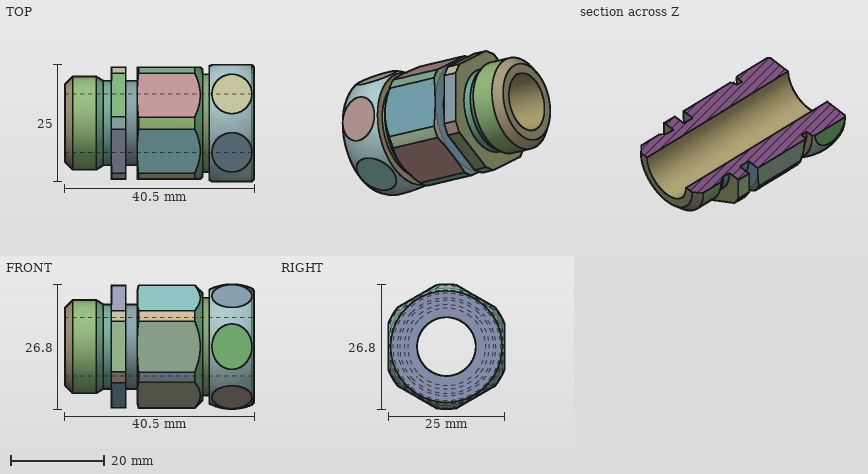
import cadquery as cq
import math

LENGTH = 40.5
BORE_DIAMETER = 12.5

THREAD_RADIUS = 20.0 / 2
LEAD_CHAMFER = 1.7
THREAD_END = 6.72
NECK_START = 8.25
NECK_RADIUS = 18.15 / 2

HEX_ACROSS_FLATS = 23.98
FLANGE_START = 9.95
FLANGE_END = 13.1
FLANGE_ACROSS_CORNERS = 26.15
BODY_START = 15.5
BODY_END = 29.5
BODY_CORNER_RADIUS = 13.15
FRONT_CHAMFER_LENGTH = 0.3
FRONT_CHAMFER_HEIGHT = 1.15
BACK_CHAMFER = 1.65

COLLAR_RADIUS = 21.0 / 2
NUT_START = 30.9
NUT_ACROSS_FLATS = 25.0
NUT_RADIUS = 26.8 / 2
NUT_CREST = 35.75
FLAT_LENGTH = 8.55
NUT_EDGE_SETBACK = 0.65
NUT_EDGE_RADIUS = 1.2


def hexagon(start, end, across_flats, turn=0):
    """Hexagonal prism along X; with no turn, two corners point along Z."""
    across_corners = across_flats / math.cos(math.pi / 6)
    return (
        cq.Workplane("YZ", origin=(start, 0, 0))
        .transformed(rotate=(0, 0, 30 + turn))
        .polygon(6, across_corners)
        .extrude(end - start)
    )


def revolved(profile):
    """Close a half profile along the X axis and turn it into a solid."""
    return profile.close().revolve(360, (0, 0, 0), (1, 0, 0))


def make_spigot():
    profile = (
        cq.Workplane("XY")
        .lineTo(0, THREAD_RADIUS - LEAD_CHAMFER)
        .lineTo(LEAD_CHAMFER, THREAD_RADIUS)
        .lineTo(THREAD_END, THREAD_RADIUS)
        .lineTo(NECK_START, NECK_RADIUS)
        .lineTo(BODY_START, NECK_RADIUS)
        .lineTo(BODY_START, 0)
    )
    return revolved(profile)


def make_flange():
    """Thin hexagon with its corners cut flat by a second, turned hexagon."""
    corner_cut = hexagon(FLANGE_START, FLANGE_END, FLANGE_ACROSS_CORNERS, turn=30)
    return hexagon(FLANGE_START, FLANGE_END, HEX_ACROSS_FLATS).intersect(corner_cut)


def make_body():
    """Hexagon with rounded corners and turned chamfers at both ends."""
    turned = revolved(
        cq.Workplane("XY")
        .moveTo(BODY_START, 0)
        .lineTo(BODY_START, BODY_CORNER_RADIUS - FRONT_CHAMFER_HEIGHT)
        .lineTo(BODY_START + FRONT_CHAMFER_LENGTH, BODY_CORNER_RADIUS)
        .lineTo(BODY_END - BACK_CHAMFER, BODY_CORNER_RADIUS)
        .lineTo(BODY_END, BODY_CORNER_RADIUS - BACK_CHAMFER)
        .lineTo(BODY_END, 0)
    )
    return hexagon(BODY_START, BODY_END, HEX_ACROSS_FLATS).intersect(turned)


def make_collar():
    return cq.Workplane("YZ", origin=(BODY_END, 0, 0)).circle(COLLAR_RADIUS).extrude(NUT_START - BODY_END)


def make_nut():
    """Barrel-shaped nut whose six flats meet the dome in closed ovals."""
    drop = NUT_RADIUS - NUT_ACROSS_FLATS / 2
    dome_radius = ((FLAT_LENGTH / 2) ** 2 + drop**2) / (2 * drop)

    def dome_height(x):
        return NUT_RADIUS - dome_radius + math.sqrt(dome_radius**2 - (x - NUT_CREST) ** 2)

    round_start = LENGTH - NUT_EDGE_SETBACK
    edge_radius = dome_height(round_start)
    barrel = revolved(
        cq.Workplane("XY")
        .moveTo(NUT_START, 0)
        .lineTo(NUT_START, dome_height(NUT_START))
        .threePointArc((NUT_CREST, NUT_RADIUS), (round_start, edge_radius))
        .radiusArc((LENGTH, edge_radius - NUT_EDGE_SETBACK), NUT_EDGE_RADIUS)
        .lineTo(LENGTH, 0)
    )
    return barrel.intersect(hexagon(NUT_START, LENGTH, NUT_ACROSS_FLATS))


bore = cq.Workplane("YZ").circle(BORE_DIAMETER / 2).extrude(LENGTH)
result = (
    make_spigot()
    .union(make_flange())
    .union(make_body())
    .union(make_collar())
    .union(make_nut())
    .cut(bore)
)